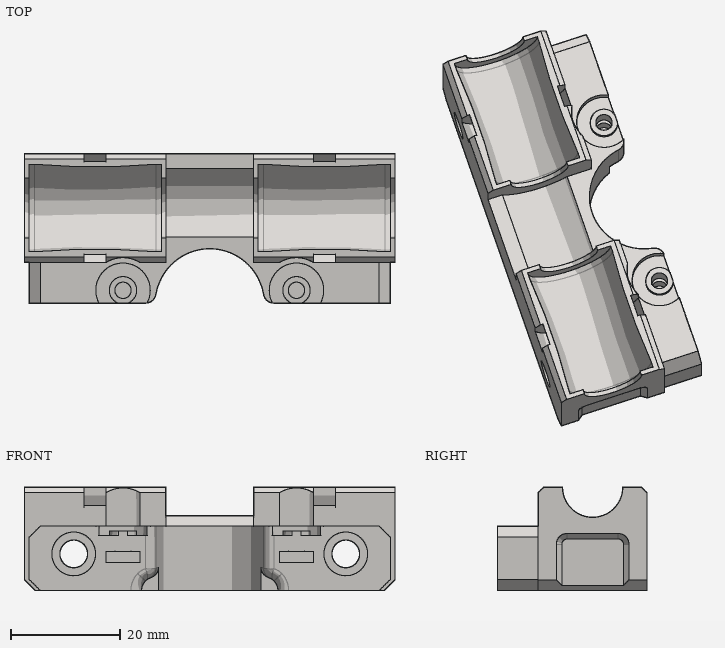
import cadquery as cq


length = 68.0
height = 19.0
body_depth = 20.0
bottom_chamfer = 2.0
top_chamfer = 1.0
axis_z = height
front_wall_y = -body_depth / 2

flange_depth = 7.5
flange_height = 11.8
flange_length = 66.2
flange_chamfer = 2.05
front_y = front_wall_y - flange_depth

saddle_length = 16.1
saddle_height = 13.75
saddle_radius = 8.9

end_wall = 0.8
seat_radius = 8.0
seat_mid_radius = 7.55
seat_straight = 1.0
rod_radius = 5.5
block_length = (length - saddle_length) / 2
block_x = (length + saddle_length) / 4
seat_half_length = block_length / 2 - end_wall

tie_width = 4.1
tie_inner_radius = 8.5
tie_outer_radius = 10.55

end_recess_width = 13.3
end_recess_top = 10.5
end_recess_depth = 1.0
end_recess_corner = 2.0
end_recess_slope = 45

mount_x = 24.95
mount_z = 6.7
mount_diameter = 5.0
mount_head_diameter = 8.0

screw_x = 15.9
screw_setback = 2.4
screw_y = front_y + screw_setback
screw_diameter = 3.0
screw_hole_bottom = 2.0
screw_collar_diameter = 5.0
screw_collar_height = 0.8
screw_recess_diameter = 10.0
screw_recess_depth = 1.7
screw_access_diameter = 12.0
nut_width = 6.2
nut_bottom = 5.2
nut_height = 2.05

bay_radius = 10.0
bay_corner_radius = 2.0
notch_radius = 2.5
notch_depth = 3.5
notch_fillet = 2.0

tolerance = 0.1


def box(x_size, y_min, y_max, z_min, z_max):
    """Box centred on X = 0."""
    return (
        cq.Workplane("XY", origin=(0, (y_min + y_max) / 2, z_min))
        .rect(x_size, y_max - y_min)
        .extrude(z_max - z_min)
    )


def rod_along_x(radius, x_size):
    """Cylinder on the bearing axis, centred on X = 0."""
    return cq.Workplane("YZ", origin=(-x_size / 2, 0, axis_z)).circle(radius).extrude(x_size)


def upright(diameter, x, z_min, z_max):
    """Vertical cylinder on a screw axis."""
    return cq.Workplane("XY", origin=(x, screw_y, z_min)).circle(diameter / 2).extrude(z_max - z_min)


def main_body():
    body = box(length, front_wall_y, -front_wall_y, 0, height)
    body = body.edges("|X and >Z").chamfer(top_chamfer)
    body = body.edges("|Y and <Z").chamfer(bottom_chamfer)
    body = body.cut(box(saddle_length, 0, body_depth, saddle_height, height))
    body = body.cut(box(saddle_length, -body_depth, 0, flange_height, height))
    return body.cut(rod_along_x(saddle_radius, saddle_length))


def front_flange():
    flange = box(flange_length, front_y, front_wall_y, 0, flange_height)
    return flange.edges("|Y").chamfer(flange_chamfer)


def cut_bay(part):
    """Round bay with rounded corners, flanked by flared bores at the underside."""
    bay = cq.Workplane("XY").center(0, front_y).circle(bay_radius).extrude(flange_height)
    part = part.cut(bay)
    for side in (-1, 1):
        corner = cq.selectors.BoxSelector(
            (side * bay_radius - tolerance, front_y - tolerance, 0),
            (side * bay_radius + tolerance, front_y + tolerance, height),
        )
        part = part.edges(corner).fillet(bay_corner_radius)
    for side in (-1, 1):
        corner_x = side * bay_radius
        notch = cq.Workplane("XZ", origin=(corner_x, front_y, 0)).circle(notch_radius).extrude(-notch_depth)
        rim = cq.selectors.BoxSelector(
            (corner_x - notch_radius, front_y - tolerance, tolerance),
            (corner_x + notch_radius, front_y + notch_depth - tolerance, notch_radius),
        )
        part = part.cut(notch).edges(rim).fillet(notch_fillet)
    return part


def bearing_seat(x):
    """Waisted cylinder for the bearing, plus the rod opening through both end walls."""
    arc_end = seat_half_length - seat_straight
    seat = (
        cq.Workplane("XY", origin=(x, 0, axis_z))
        .moveTo(-seat_half_length, 0)
        .lineTo(-seat_half_length, seat_radius)
        .lineTo(-arc_end, seat_radius)
        .threePointArc((0, seat_mid_radius), (arc_end, seat_radius))
        .lineTo(seat_half_length, seat_radius)
        .lineTo(seat_half_length, 0)
        .close()
        .revolve(360, (0, 0, 0), (1, 0, 0))
    )
    return seat.union(rod_along_x(rod_radius, block_length).translate((x, 0, 0)))


def tie_channel(x):
    ring = rod_along_x(tie_outer_radius, tie_width).cut(rod_along_x(tie_inner_radius, tie_width))
    return ring.translate((x, 0, 0))


def end_recess():
    """Recess of the -X end: widest at the end face, open at the bottom."""
    return (
        cq.Workplane("YZ", origin=(-length / 2, 0, 0))
        .sketch()
        .rect(end_recess_width, 2 * end_recess_top)
        .vertices()
        .fillet(end_recess_corner)
        .finalize()
        .extrude(end_recess_depth, taper=end_recess_slope)
    )


def mount_bore(x):
    plane = cq.Workplane("XZ", origin=(x, front_y, mount_z))
    through = plane.circle(mount_diameter / 2).extrude(-(flange_depth + body_depth))
    return through.union(plane.circle(mount_head_diameter / 2).extrude(-flange_depth))


def screw_cut(x):
    """Access above the flange, recess around a collar, screw hole and nut slot."""
    recess_floor = flange_height - screw_recess_depth
    collar = upright(screw_collar_diameter, x, recess_floor, recess_floor + screw_collar_height)
    recess = upright(screw_recess_diameter, x, recess_floor, flange_height).cut(collar)
    access = upright(screw_access_diameter, x, flange_height, height)
    hole = upright(screw_diameter, x, screw_hole_bottom, flange_height)
    slot_end = screw_y + nut_width / 2
    slot = box(nut_width, front_y, slot_end, nut_bottom, nut_bottom + nut_height)
    return recess.union(access).union(hole).union(slot.translate((x, 0, 0)))


result = cut_bay(main_body().union(front_flange()))
for side in (-1, 1):
    result = result.cut(bearing_seat(side * block_x))
    result = result.cut(tie_channel(side * block_x))
    result = result.cut(mount_bore(side * mount_x))
    result = result.cut(screw_cut(side * screw_x))
recess = end_recess()
result = result.cut(recess).cut(recess.mirror("YZ"))